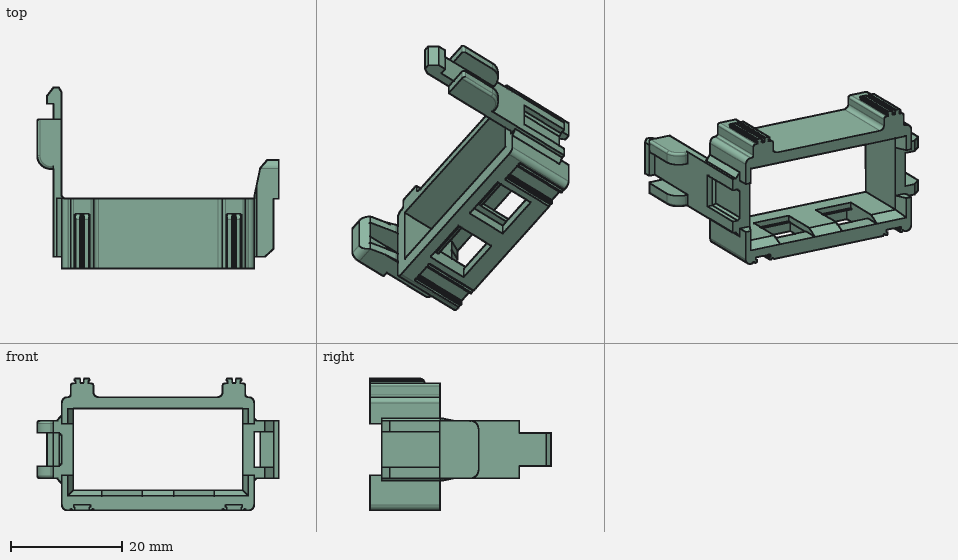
import cadquery as cq


FRAME_DEPTH = 12.6
FRAME_HALF_WIDTH = 17.27
FRAME_TOP = 20.35
FRAME_CORNER_R = 1.05
SIDE_WALL = 2.1
ROOF = 2.1
FLOOR = 3.65
LEAD_IN = 1.05
FRONT_SETBACK = 2.1
NOTCH_HALF_HEIGHT = 4.6
CAVITY_HALF_WIDTH = FRAME_HALF_WIDTH - SIDE_WALL
CAVITY_TOP = FRAME_TOP - ROOF

WINDOW_X = 6.45
WINDOW_WIDTH = 7.3
WINDOW_FRONT = 3.2
WINDOW_BACK = 9.3
CHANNEL_Z = FLOOR - LEAD_IN
LIP_REACH = 0.45
LIP_THICKNESS = 0.15
UNDERCUT_BACK = 1.75
UNDERCUT_INNER = 1.15

RAIL_X = 13.63
RAIL_WIDTH = 4.12
RAIL_TOP = 22.85
RAIL_TOP_R = 0.48
RAIL_OUTER_FOOT_R = 0.45
RAIL_INNER_FOOT_R = 0.85
RIDGE_LENGTH = 9.85
RIDGE_HEIGHT = 0.85
RIDGE_END_R = 1.0
RIDGE_NECK = 1.17
RIDGE_TIP = 1.4
SLIT_FLOOR = 0.1
SLIT_WALL = 0.3
SLIT_MOUTH = 0.45
SLIT_BEVEL = 0.17
TIP_BOTTOM = 0.5
TIP_TOP = 0.65
UNDERCUT_START = 0.35
GROOVE_DEPTH = 1.05
GROOVE_HALF_WIDTH = 1.5
GROOVE_NECK = 1.3
GROOVE_MOUTH_FLARE = 0.15
GROOVE_MOUTH_DEPTH = 0.17
GROOVE_NECK_END = 0.5
GROOVE_WIDE_START = 0.7
GROOVE_CORNER = 0.15
RELIEF_OFFSET = 1.95
RELIEF_HALF_WIDTH = 0.3

CLIP_Z = 10.95
CLIP_HALF_HEIGHT = 5.15

ARM_THICKNESS = 1.48
ARM_OUTER = FRAME_HALF_WIDTH + ARM_THICKNESS
ARM_BODY_END = 26.8
ARM_END = 32.5
ARM_TIP_HALF_HEIGHT = 3.0
HOOK_REACH = 1.17
HOOK_BACK = 29.55
HOOK_BEVEL_START = 31.0
TIP_BEVEL_X = 0.5
TIP_BEVEL_Y = 0.9
TAB_FRONT = 17.85
TAB_CORNER_R = 2.47
TAB_EDGE_R = 0.48
OVERALL_HALF_WIDTH = 21.7
ARM_FLARE_X = 0.85
ARM_FLARE_Z = 1.0
ARM_ROOT_BEVEL = 0.45
POCKET_BACK = 11.0
POCKET_BEVEL = 0.48

LATCH_OUTER = 20.75
LATCH_FRONT_BEVEL_X = 1.55
LATCH_FRONT_BEVEL_Y = 1.45
LATCH_LEDGE = 12.5
LATCH_END = 19.5
LATCH_END_R = 1.48
LATCH_END_BEVEL = 1.3
LATCH_SLANT_START = 13.0
LATCH_SLANT_SHIFT = 1.05
LATCH_OPENING_HALF_HEIGHT = 3.15
LATCH_FLARE = 0.45


def box(x0, x1, y0, y1, z0, z1):
    return cq.Workplane("XY").box(x1 - x0, y1 - y0, z1 - z0, centered=False).translate((x0, y0, z0))


def along_y(points, y0, y1):
    """Extrude an (x, z) outline from y0 to y1."""
    return cq.Workplane("XZ", origin=(0, y0, 0)).polyline(points).close().extrude(y0 - y1)


def plate(points, half_height):
    """Extrude an (x, y) outline symmetrically about the clip centre plane."""
    return cq.Workplane("XY", origin=(0, 0, CLIP_Z)).polyline(points).close().extrude(half_height, both=True)


def both_sides(right_half):
    return right_half.union(right_half.mirror("YZ"))


def flip_z(upper):
    """Add the mirror image about the clip centre plane."""
    return upper.union(upper.mirror("XY", (0, 0, CLIP_Z)))


def make_frame():
    frame = box(-FRAME_HALF_WIDTH, FRAME_HALF_WIDTH, 0, FRAME_DEPTH, 0, FRAME_TOP)
    frame = frame.edges("|Y").fillet(FRAME_CORNER_R)
    cavity = box(-CAVITY_HALF_WIDTH, CAVITY_HALF_WIDTH, 0, FRAME_DEPTH, FLOOR, CAVITY_TOP)
    mouth_half_width = CAVITY_HALF_WIDTH + LEAD_IN
    mouth_sides = plate(
        [
            (-mouth_half_width, 0),
            (mouth_half_width, 0),
            (CAVITY_HALF_WIDTH, FRONT_SETBACK),
            (-CAVITY_HALF_WIDTH, FRONT_SETBACK),
        ],
        FRAME_TOP,
    )
    mouth_floor = (
        cq.Workplane("YZ")
        .polyline([(0, CHANNEL_Z), (FRONT_SETBACK, FLOOR), (FRONT_SETBACK, CAVITY_TOP), (0, CAVITY_TOP)])
        .close()
        .extrude(FRAME_HALF_WIDTH, both=True)
    )
    notches = box(
        -FRAME_HALF_WIDTH, FRAME_HALF_WIDTH, 0, FRONT_SETBACK,
        CLIP_Z - NOTCH_HALF_HEIGHT, CLIP_Z + NOTCH_HALF_HEIGHT,
    )
    return frame.cut(cavity).cut(mouth_sides.intersect(mouth_floor)).cut(notches)


def make_window():
    """Right-hand floor window with its front channel, rear lip and underside recess."""
    x0 = WINDOW_X - WINDOW_WIDTH / 2
    x1 = WINDOW_X + WINDOW_WIDTH / 2
    lip_edge = WINDOW_BACK - LIP_REACH
    channel = box(x0, x1, 0, WINDOW_BACK, CHANNEL_Z, FLOOR)
    opening = box(x0, x1, WINDOW_FRONT, lip_edge, 0, FLOOR)
    undercut = box(
        x0 - UNDERCUT_INNER, x1, WINDOW_FRONT, lip_edge + UNDERCUT_BACK, 0, CHANNEL_Z - LIP_THICKNESS
    )
    return channel.union(opening).union(undercut)


def foot_fillet(wall_x, radius, direction):
    """Concave fillet between the roof and a rail wall; direction points away from the rail."""
    square = box(
        min(wall_x, wall_x + direction * radius), max(wall_x, wall_x + direction * radius),
        0, FRAME_DEPTH, FRAME_TOP, FRAME_TOP + radius,
    )
    scoop = (
        cq.Workplane("XZ")
        .center(wall_x + direction * radius, FRAME_TOP + radius)
        .circle(radius)
        .extrude(-FRAME_DEPTH)
    )
    return square.cut(scoop)


def make_ridges():
    """Two ridges with hooked outer edges and a narrow slit between them."""
    outline = [
        (SLIT_FLOOR, 0),
        (SLIT_WALL, SLIT_BEVEL),
        (SLIT_WALL, RIDGE_HEIGHT - SLIT_BEVEL),
        (SLIT_MOUTH, RIDGE_HEIGHT),
        (RIDGE_NECK, RIDGE_HEIGHT),
        (RIDGE_TIP, TIP_TOP),
        (RIDGE_TIP, TIP_BOTTOM),
        (RIDGE_NECK, UNDERCUT_START),
        (RIDGE_NECK, 0),
    ]
    ridge = both_sides(along_y(outline, 0, RIDGE_LENGTH))
    rounded_end = (
        box(-RAIL_WIDTH / 2, RAIL_WIDTH / 2, 0, RIDGE_LENGTH, -RIDGE_HEIGHT, RIDGE_HEIGHT)
        .edges(">Y and >Z")
        .fillet(RIDGE_END_R)
    )
    return ridge.intersect(rounded_end).translate((RAIL_X, 0, RAIL_TOP))


def make_rail():
    inner = RAIL_X - RAIL_WIDTH / 2
    outer = RAIL_X + RAIL_WIDTH / 2
    rail = box(inner, outer, 0, FRAME_DEPTH, CAVITY_TOP, RAIL_TOP)
    rail = rail.edges("|Y and >Z").fillet(RAIL_TOP_R)
    rail = rail.union(foot_fillet(inner, RAIL_INNER_FOOT_R, -1))
    rail = rail.union(foot_fillet(outer, RAIL_OUTER_FOOT_R, 1))
    return rail.union(make_ridges())


def make_groove():
    """Blind undercut groove with a V-shaped relief beside each edge."""
    outline = [
        (0, 0),
        (GROOVE_NECK + GROOVE_MOUTH_FLARE, 0),
        (GROOVE_NECK, GROOVE_MOUTH_DEPTH),
        (GROOVE_NECK, GROOVE_NECK_END),
        (GROOVE_HALF_WIDTH, GROOVE_WIDE_START),
        (GROOVE_HALF_WIDTH, GROOVE_DEPTH - GROOVE_CORNER),
        (GROOVE_HALF_WIDTH - GROOVE_CORNER, GROOVE_DEPTH),
        (0, GROOVE_DEPTH),
    ]
    relief = [
        (RELIEF_OFFSET - RELIEF_HALF_WIDTH, 0),
        (RELIEF_OFFSET, RELIEF_HALF_WIDTH),
        (RELIEF_OFFSET + RELIEF_HALF_WIDTH, 0),
    ]
    half = along_y(outline, 0, RIDGE_LENGTH).union(along_y(relief, 0, RIDGE_LENGTH))
    return both_sides(half).translate((RAIL_X, 0, 0))


def make_arm_tab():
    z0 = CLIP_Z + ARM_TIP_HALF_HEIGHT
    z1 = CLIP_Z + CLIP_HALF_HEIGHT
    tab = box(-OVERALL_HALF_WIDTH, -FRAME_HALF_WIDTH, TAB_FRONT, ARM_BODY_END, z0, z1)
    tab = tab.edges("<X and <Y").fillet(TAB_CORNER_R)
    return tab.faces("<X").edges(">Z or >Y").fillet(TAB_EDGE_R)


def make_arm():
    """Left arm: a long plate with a hooked tip, two tabs and a front pocket."""
    body = plate(
        [
            (-FRAME_HALF_WIDTH, FRONT_SETBACK),
            (-ARM_OUTER, FRONT_SETBACK),
            (-ARM_OUTER, ARM_BODY_END),
            (-FRAME_HALF_WIDTH, ARM_BODY_END),
            (-FRAME_HALF_WIDTH, FRAME_DEPTH + ARM_ROOT_BEVEL),
            (-FRAME_HALF_WIDTH + ARM_ROOT_BEVEL, FRAME_DEPTH),
            (-FRAME_HALF_WIDTH + ARM_ROOT_BEVEL, FRONT_SETBACK),
        ],
        CLIP_HALF_HEIGHT,
    )
    hook_x = -ARM_OUTER - HOOK_REACH
    tip = plate(
        [
            (-FRAME_HALF_WIDTH, TAB_FRONT),
            (-ARM_OUTER, TAB_FRONT),
            (-ARM_OUTER, HOOK_BACK),
            (hook_x, HOOK_BACK),
            (hook_x, HOOK_BEVEL_START),
            (-ARM_OUTER, ARM_END),
            (-FRAME_HALF_WIDTH - TIP_BEVEL_X, ARM_END),
            (-FRAME_HALF_WIDTH, ARM_END - TIP_BEVEL_Y),
        ],
        ARM_TIP_HALF_HEIGHT,
    )
    edge_z = CLIP_Z + CLIP_HALF_HEIGHT
    flare = along_y(
        [
            (-FRAME_HALF_WIDTH, edge_z),
            (-FRAME_HALF_WIDTH - ARM_FLARE_X, edge_z),
            (-FRAME_HALF_WIDTH, edge_z + ARM_FLARE_Z),
        ],
        FRONT_SETBACK, FRAME_DEPTH,
    )
    pocket = box(
        -ARM_OUTER, -FRAME_HALF_WIDTH, FRONT_SETBACK, POCKET_BACK,
        CLIP_Z - ARM_TIP_HALF_HEIGHT, CLIP_Z + ARM_TIP_HALF_HEIGHT,
    )
    pocket = pocket.faces(">X").edges("not <Y").chamfer(POCKET_BEVEL)
    return body.union(tip).union(flip_z(make_arm_tab())).union(flip_z(flare)).cut(pocket)


def make_latch():
    """Right clip: two ribs joined at the back by a hooked end."""
    slant_end_x = FRAME_HALF_WIDTH + LATCH_SLANT_SHIFT
    slant_end_y = LATCH_END - LATCH_END_R
    outline = [
        (FRAME_HALF_WIDTH, FRONT_SETBACK),
        (LATCH_OUTER - LATCH_FRONT_BEVEL_X, FRONT_SETBACK),
        (LATCH_OUTER, FRONT_SETBACK + LATCH_FRONT_BEVEL_Y),
        (LATCH_OUTER, LATCH_LEDGE),
        (OVERALL_HALF_WIDTH, LATCH_LEDGE),
        (OVERALL_HALF_WIDTH, LATCH_END),
        (slant_end_x + LATCH_END_BEVEL, LATCH_END),
        (slant_end_x, slant_end_y),
        (FRAME_HALF_WIDTH, LATCH_SLANT_START),
    ]
    tall_half_height = CLIP_HALF_HEIGHT + LATCH_FLARE
    rounded_block = (
        box(
            FRAME_HALF_WIDTH, OVERALL_HALF_WIDTH, FRONT_SETBACK, LATCH_END,
            CLIP_Z - CLIP_HALF_HEIGHT, CLIP_Z + CLIP_HALF_HEIGHT,
        )
        .edges("|X and >Y")
        .fillet(LATCH_END_R)
    )
    edge_z = CLIP_Z + CLIP_HALF_HEIGHT
    flare = along_y(
        [
            (FRAME_HALF_WIDTH, edge_z),
            (FRAME_HALF_WIDTH + LATCH_FLARE, edge_z),
            (FRAME_HALF_WIDTH, edge_z + LATCH_FLARE),
        ],
        FRONT_SETBACK, slant_end_y,
    )
    opening = box(
        FRAME_HALF_WIDTH, LATCH_OUTER, FRONT_SETBACK, slant_end_y,
        CLIP_Z - LATCH_OPENING_HALF_HEIGHT, CLIP_Z + LATCH_OPENING_HALF_HEIGHT,
    )
    return plate(outline, tall_half_height).intersect(rounded_block.union(flip_z(flare))).cut(opening)


result = (
    make_frame()
    .union(both_sides(make_rail()))
    .cut(both_sides(make_window()))
    .cut(both_sides(make_groove()))
    .union(make_arm())
    .union(make_latch())
)